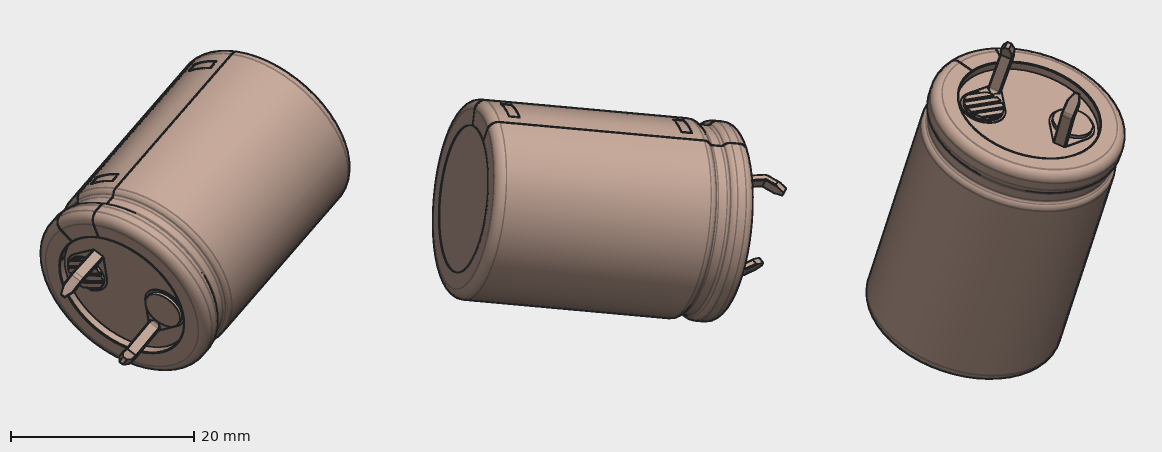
import cadquery as cq
import math


OVERALL_LENGTH = 36.0
CAN_LENGTH = 30.0
OUTER_DIAMETER = 22.0
OUTER_RADIUS = OUTER_DIAMETER / 2
TERMINAL_REACH = OVERALL_LENGTH - CAN_LENGTH

SLEEVE_THICKNESS = 0.1
SLEEVE_OPENING_DIAMETER = 16.15
END_FILLET = 1.1

GROOVE_CENTRE = 3.65
GROOVE_FLOOR_LENGTH = 1.0
GROOVE_DEPTH = 0.55
GROOVE_SHOULDER_RADIUS = 0.9
GROOVE_ROOT_RADIUS = 0.35

STRIPE_START_ANGLE = 111.6
STRIPE_END_ANGLE = 143.0
STRIPE_MIDDLE_ANGLE = (STRIPE_START_ANGLE + STRIPE_END_ANGLE) / 2
WINDOW_WIDTH = 3.5
WINDOW_LENGTH = 1.22
WINDOW_CENTRES = (6.9, 26.85)

LID_DIAMETER = 16.0
LID_DEPTH = 1.0

TERMINAL_OFFSET = 5.0
TERMINAL_TILT = 20.6
FOOT_DIAMETER = 5.08
FOOT_THICKNESS = 0.1
RIVET_DIAMETER = 4.5
RIVET_HEIGHT = 0.5
PIN_WIDTH = 1.4
PIN_THICKNESS = 0.75
PIN_ROOT_DISTANCE = 3.67
PIN_LEG_ANGLE = 9.7
PIN_BEND_DEPTH = 3.65
PIN_TIP_ANGLE = 31.0
PIN_BEND_RADIUS = 0.75
PIN_ROOT_RADIUS = 0.35
PIN_EDGE_BEVEL = 0.1
PIN_EMBEDDING = 0.35
PIN_POINT_WIDTH = 0.5
PIN_POINT_LENGTH = 1.2

SLOT_COUNT = 5
SLOT_PITCH = 1.0
SLOT_WIDTH = 0.35
SLOT_DEPTH = 0.2
SLOT_TILT = 29.0


def cylinder_along_y(diameter, y_start, length):
    """Solid cylinder on the Y axis from y_start towards +Y."""
    return cq.Workplane("XZ", origin=(0, y_start, 0)).circle(diameter / 2).extrude(-length)


def arc_point(centre_r, centre_y, radius, angle):
    """Point (r, y) on an arc, with the angle measured from +r towards +y."""
    a = math.radians(angle)
    return (centre_r + radius * math.cos(a), centre_y + radius * math.sin(a))


def grooved_cylinder(inset):
    """Can shape with rounded ends and a rolled groove, shrunk by an even inset."""
    radius = OUTER_RADIUS - inset
    fillet = END_FILLET - inset
    front = inset
    back = CAN_LENGTH - inset
    shoulder = GROOVE_SHOULDER_RADIUS - inset
    root = GROOVE_ROOT_RADIUS + inset
    sweep = math.degrees(math.acos(1 - GROOVE_DEPTH / (shoulder + root)))
    floor_radius = radius - GROOVE_DEPTH
    half_floor = GROOVE_FLOOR_LENGTH / 2
    half_mouth = half_floor + (shoulder + root) * math.sin(math.radians(sweep))
    shoulder_r = radius - shoulder
    root_r = floor_radius + root
    front_mouth = GROOVE_CENTRE - half_mouth
    back_mouth = GROOVE_CENTRE + half_mouth
    front_floor = GROOVE_CENTRE - half_floor
    back_floor = GROOVE_CENTRE + half_floor
    corner_r = radius - fillet

    profile = (
        cq.Workplane("XY")
        .moveTo(0, front)
        .lineTo(corner_r, front)
        .threePointArc(arc_point(corner_r, front + fillet, fillet, -45), (radius, front + fillet))
        .lineTo(radius, front_mouth)
        .threePointArc(
            arc_point(shoulder_r, front_mouth, shoulder, sweep / 2),
            arc_point(shoulder_r, front_mouth, shoulder, sweep),
        )
        .threePointArc(
            arc_point(root_r, front_floor, root, 180 + sweep / 2),
            (floor_radius, front_floor),
        )
        .lineTo(floor_radius, back_floor)
        .threePointArc(
            arc_point(root_r, back_floor, root, 180 - sweep / 2),
            arc_point(root_r, back_floor, root, 180 - sweep),
        )
        .threePointArc(
            arc_point(shoulder_r, back_mouth, shoulder, -sweep / 2),
            (radius, back_mouth),
        )
        .lineTo(radius, back - fillet)
        .threePointArc(arc_point(corner_r, back - fillet, fillet, 45), (corner_r, back))
        .lineTo(0, back)
        .close()
    )
    return profile.revolve(360, (0, 0, 0), (0, 1, 0))


def stripe_sector():
    """Wedge along the whole can that covers the angles of the stripe."""
    reach = OUTER_DIAMETER
    corners = [(0, 0)]
    for angle in (STRIPE_START_ANGLE, STRIPE_END_ANGLE):
        a = math.radians(angle)
        corners.append((reach * math.cos(a), reach * math.sin(a)))
    return cq.Workplane("XZ").polyline(corners).close().extrude(-CAN_LENGTH)


def full_wrap():
    """Thin shell around the can, open in the middle of both ends."""
    opening = cylinder_along_y(SLEEVE_OPENING_DIAMETER, 0, CAN_LENGTH)
    return grooved_cylinder(0).cut(grooved_cylinder(SLEEVE_THICKNESS)).cut(opening)


def make_sleeve():
    """Wrap without the polarity stripe."""
    return full_wrap().cut(stripe_sector())


def make_stripe():
    """Stripe of the wrap with a rectangular window near each end."""
    stripe = full_wrap().intersect(stripe_sector())
    for y in WINDOW_CENTRES:
        window = (
            cq.Workplane("XY")
            .box(OUTER_RADIUS, WINDOW_LENGTH, WINDOW_WIDTH)
            .translate((OUTER_RADIUS, y, 0))
            .rotate((0, 0, 0), (0, 1, 0), -STRIPE_MIDDLE_ANGLE)
        )
        stripe = stripe.cut(window)
    return stripe


def make_pin():
    """Bevelled flat pin with a tapered point; it leans to +Z and bends back to -Z."""
    half = PIN_THICKNESS / 2
    leg = math.radians(PIN_LEG_ANGLE)
    tip = math.radians(PIN_TIP_ANGLE)
    leg_half = half / math.cos(leg)
    root_y = LID_DEPTH + PIN_EMBEDDING
    root_z = PIN_ROOT_DISTANCE - PIN_EMBEDDING * math.tan(leg)
    bend_z = PIN_ROOT_DISTANCE + (LID_DEPTH + PIN_BEND_DEPTH) * math.tan(leg)
    tip_y = -TERMINAL_REACH + half * math.sin(tip)
    tip_z = bend_z + (tip_y + PIN_BEND_DEPTH) * math.tan(tip)
    mitre = half / math.cos((leg + tip) / 2)
    mitre_y = mitre * math.sin((leg - tip) / 2)
    mitre_z = mitre * math.cos((leg - tip) / 2)
    end_y = half * math.sin(tip)
    end_z = half * math.cos(tip)
    side = [
        (root_y, root_z - leg_half),
        (-PIN_BEND_DEPTH - mitre_y, bend_z - mitre_z),
        (tip_y + end_y, tip_z - end_z),
        (tip_y - end_y, tip_z + end_z),
        (-PIN_BEND_DEPTH + mitre_y, bend_z + mitre_z),
        (root_y, root_z + leg_half),
    ]
    blade = cq.Workplane("YZ").polyline(side).close().extrude(PIN_WIDTH / 2, both=True)
    outer_bend = cq.selectors.NearestToPointSelector(
        (0, -PIN_BEND_DEPTH + mitre_y, bend_z + mitre_z)
    )
    blade = blade.edges("|X").edges(outer_bend).fillet(PIN_BEND_RADIUS)
    blade = blade.faces("<X or >X").edges().chamfer(PIN_EDGE_BEVEL)

    point_outline = [
        (-PIN_WIDTH / 2, OVERALL_LENGTH),
        (-PIN_WIDTH / 2, PIN_POINT_LENGTH),
        (-PIN_POINT_WIDTH / 2, 0),
        (PIN_POINT_WIDTH / 2, 0),
        (PIN_WIDTH / 2, PIN_POINT_LENGTH),
        (PIN_WIDTH / 2, OVERALL_LENGTH),
    ]
    point_limits = (
        cq.Workplane("XY")
        .polyline(point_outline)
        .close()
        .extrude(OUTER_RADIUS, both=True)
        .rotate((0, 0, 0), (1, 0, 0), PIN_TIP_ANGLE)
        .translate((0, tip_y, tip_z))
    )
    return blade.intersect(point_limits)


def make_foot():
    """Teardrop plate: a disc with straight sides running to the root of the pin."""
    radius = FOOT_DIAMETER / 2
    corner_x = PIN_WIDTH / 2
    corner_z = PIN_ROOT_DISTANCE + PIN_THICKNESS / 2
    corner_distance = math.hypot(corner_x, corner_z)
    tangent = math.atan2(corner_z, corner_x) - math.acos(radius / corner_distance)
    tangent_x = radius * math.cos(tangent)
    tangent_z = radius * math.sin(tangent)
    return (
        cq.Workplane("XZ", origin=(0, LID_DEPTH, 0))
        .moveTo(corner_x, corner_z)
        .lineTo(tangent_x, tangent_z)
        .threePointArc((0, -radius), (-tangent_x, tangent_z))
        .lineTo(-corner_x, corner_z)
        .close()
        .extrude(FOOT_THICKNESS)
    )


def make_terminal():
    """Foot, rivet head and pin at the -X place, with the rivet centre off the can axis."""
    rivet = cylinder_along_y(RIVET_DIAMETER, LID_DEPTH - RIVET_HEIGHT, RIVET_HEIGHT)
    foot_face = LID_DEPTH - FOOT_THICKNESS
    inner_root = cq.selectors.NearestToPointSelector(
        (0, foot_face, PIN_ROOT_DISTANCE - PIN_THICKNESS / 2)
    )
    foot_and_pin = make_foot().union(make_pin()).edges(inner_root).fillet(PIN_ROOT_RADIUS)
    terminal = foot_and_pin.union(rivet)
    return terminal.rotate((0, 0, 0), (0, 1, 0), TERMINAL_TILT).translate((-TERMINAL_OFFSET, 0, 0))


def negative_slots():
    """Parallel shallow slots across the rivet head at -X."""
    rivet_face = LID_DEPTH - RIVET_HEIGHT
    slots = (
        cq.Workplane("XZ", origin=(0, rivet_face, 0))
        .rarray(RIVET_DIAMETER, SLOT_PITCH, 1, SLOT_COUNT)
        .rect(RIVET_DIAMETER, SLOT_WIDTH)
        .extrude(-SLOT_DEPTH)
    )
    return slots.rotate((0, 0, 0), (0, 1, 0), -SLOT_TILT).translate((-TERMINAL_OFFSET, 0, 0))


def make_core():
    """Can with a recessed lid that carries both terminals."""
    recess = cylinder_along_y(LID_DIAMETER, 0, LID_DEPTH)
    core = grooved_cylinder(SLEEVE_THICKNESS).cut(recess)
    for turn in (0, 180):
        core = core.union(make_terminal().rotate((0, 0, 0), (0, 1, 0), turn))
    return core.cut(negative_slots())


sleeve = make_sleeve()
stripe = make_stripe()
core = make_core()

result = cq.Compound.makeCompound(
    [*sleeve.solids().vals(), *stripe.solids().vals(), *core.solids().vals()]
)